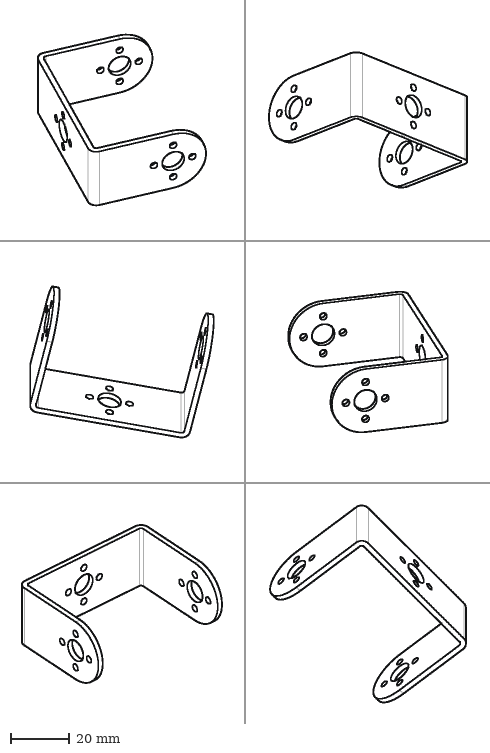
import cadquery as cq

width = 56.0
depth = 42.0
height = 24.0

thickness = 2.0
inner_bend_radius = 1.0
outer_bend_radius = inner_bend_radius + thickness

centre_hole_diameter = 8.0
screw_hole_diameter = 2.5
screw_hole_offset = 7.0
screw_hole_count = 4

arm_end_radius = height / 2
arm_hole_y = depth - arm_end_radius


def centred_block(size_x, front_y, back_y):
    """Full-height block centred on X and Z between two Y positions."""
    return (
        cq.Workplane("XY")
        .box(size_x, back_y - front_y, height, centered=(True, False, True))
        .translate((0, front_y, 0))
    )


def bent_sheet():
    """U-channel with rounded bends, open towards +Y."""
    outer = centred_block(width, 0, depth).edges("|Z and <Y").fillet(outer_bend_radius)
    inner = centred_block(width - 2 * thickness, thickness, depth)
    inner = inner.edges("|Z and <Y").fillet(inner_bend_radius)
    return outer.cut(inner)


def arm_side_profile():
    """Side silhouette with a half-round end, swept across the full width."""
    return (
        cq.Workplane("YZ")
        .moveTo(0, -arm_end_radius)
        .lineTo(arm_hole_y, -arm_end_radius)
        .threePointArc((depth, 0), (arm_hole_y, arm_end_radius))
        .lineTo(0, arm_end_radius)
        .close()
        .extrude(width / 2, both=True)
    )


def hole_pattern(workplane, length):
    """Cutters for one hole pattern, extending to both sides of the workplane."""
    centre = workplane.circle(centre_hole_diameter / 2).extrude(length, both=True)
    screws = (
        workplane.polarArray(screw_hole_offset, 0, 360, screw_hole_count)
        .circle(screw_hole_diameter / 2)
        .extrude(length, both=True)
    )
    return centre.union(screws)


web_holes = hole_pattern(cq.Workplane("XZ"), thickness)
arm_holes = hole_pattern(cq.Workplane("YZ", origin=(0, arm_hole_y, 0)), width / 2)

result = bent_sheet().intersect(arm_side_profile()).cut(web_holes).cut(arm_holes)